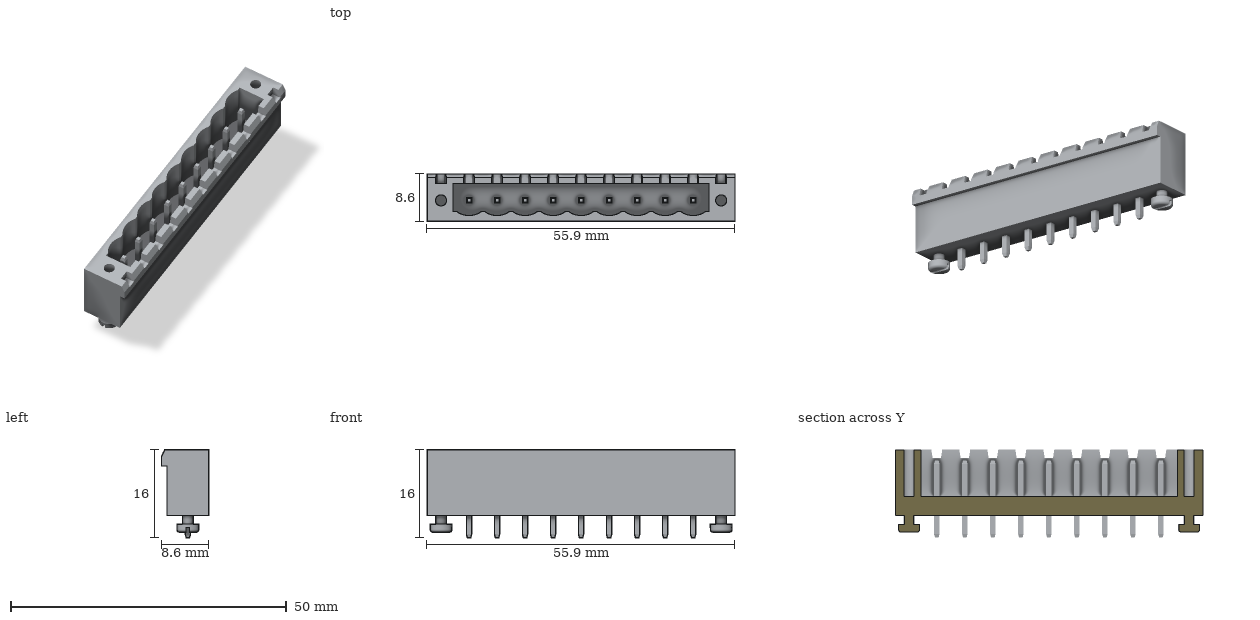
import cadquery as cq
import math


pitch = 5.08
pin_count = 9
pin_xs = [(i - (pin_count - 1) / 2) * pitch for i in range(pin_count)]
screw_x = pin_xs[-1] + pitch
screw_xs = [-screw_x, screw_x]

length = (pin_count + 2) * pitch
height = 12.0
depth = 7.6
front_y = -3.8
back_y = front_y + depth
lip_overhang = 1.0
lip_height = 3.0
lip_back_y = back_y + lip_overhang
bevel_depth = 0.6
bevel_height = 1.3

cavity_length = 46.4
cavity_depth = 8.5
cavity_floor_z = height - cavity_depth
back_wall = 1.7
cavity_back_y = lip_back_y - back_wall
front_wall = 1.75
cavity_front_y = front_y + front_wall
scallop_width = 4.4
scallop_rise = 0.7

notch_floor_width = 1.5
notch_top_width = 2.0
notch_depth = 1.6

pin_width = 1.0
pin_below = 4.0
pin_top_recess = 2.0
pin_top_z = height - pin_top_recess
pin_tip_inset = 0.18
pin_tip_length = 0.65

shank_diameter = 2.0
hole_depth = cavity_depth
head_diameter = 4.0
head_top_z = -1.5
head_height = 1.5
head_round = 0.5
driver_slot_width = 0.6
driver_slot_depth = 0.9


def make_housing():
    """Prism along X whose back wall carries a bevelled lip at the top."""
    lip_bottom_z = height - lip_height
    return (
        cq.Workplane("YZ")
        .moveTo(front_y, 0)
        .lineTo(back_y, 0)
        .lineTo(back_y, lip_bottom_z)
        .lineTo(lip_back_y, lip_bottom_z)
        .lineTo(lip_back_y, height - bevel_height)
        .lineTo(lip_back_y - bevel_depth, height)
        .lineTo(front_y, height)
        .close()
        .extrude(length / 2, both=True)
    )


def make_cavity():
    """Pocket whose front wall is scooped out by one round scallop for each pin."""
    half_length = cavity_length / 2
    outline = (
        cq.Workplane("XY")
        .workplane(offset=cavity_floor_z)
        .moveTo(-half_length, cavity_back_y)
        .lineTo(-half_length, cavity_front_y)
    )
    for x in pin_xs:
        scallop_bottom = (x, cavity_front_y - scallop_rise)
        scallop_end = (x + scallop_width / 2, cavity_front_y)
        outline = (
            outline.lineTo(x - scallop_width / 2, cavity_front_y)
            .threePointArc(scallop_bottom, scallop_end)
        )
    return (
        outline.lineTo(half_length, cavity_front_y)
        .lineTo(half_length, cavity_back_y)
        .close()
        .extrude(cavity_depth)
    )


def make_notch(x):
    """Notch with sloping sides, running from the cavity's back wall out through the lip."""
    floor_z = height - notch_depth
    return (
        cq.Workplane("XZ", origin=(x, lip_back_y, 0))
        .moveTo(-notch_floor_width / 2, floor_z)
        .lineTo(notch_floor_width / 2, floor_z)
        .lineTo(notch_top_width / 2, height)
        .lineTo(-notch_top_width / 2, height)
        .close()
        .extrude(lip_back_y - cavity_back_y)
    )


def make_tip(x, base_z, direction):
    """Tapered pin end, growing up (direction 1) or down (direction -1) from base_z."""
    taper = math.degrees(math.atan(pin_tip_inset / pin_tip_length))
    return (
        cq.Workplane("XY", origin=(x, 0, base_z))
        .rect(pin_width, pin_width)
        .extrude(direction * pin_tip_length, taper=taper)
    )


def make_pin(x):
    """Square pin tapered at both ends."""
    shaft_bottom_z = -pin_below + pin_tip_length
    shaft_top_z = pin_top_z - pin_tip_length
    shaft = (
        cq.Workplane("XY", origin=(x, 0, shaft_bottom_z))
        .rect(pin_width, pin_width)
        .extrude(shaft_top_z - shaft_bottom_z)
    )
    return shaft.union(make_tip(x, shaft_top_z, 1)).union(make_tip(x, shaft_bottom_z, -1))


def make_screw(x):
    """Screw below the housing: a shank and a rounded, slotted head."""
    head_bottom_z = head_top_z - head_height
    shank = cq.Workplane("XY", origin=(x, 0, 0)).circle(shank_diameter / 2).extrude(head_top_z)
    head = (
        cq.Workplane("XY", origin=(x, 0, head_bottom_z))
        .circle(head_diameter / 2)
        .extrude(head_height)
        .faces("<Z")
        .edges()
        .fillet(head_round)
    )
    driver_slot = (
        cq.Workplane("XY", origin=(x, 0, head_bottom_z))
        .rect(head_diameter, driver_slot_width)
        .extrude(driver_slot_depth)
    )
    return shank.union(head.cut(driver_slot))


def make_screw_hole(x):
    """Blind round hole in the top of the housing, in line with the screw."""
    return (
        cq.Workplane("XY", origin=(x, 0, height - hole_depth))
        .circle(shank_diameter / 2)
        .extrude(hole_depth)
    )


result = make_housing().cut(make_cavity())

for notch_x in pin_xs + screw_xs:
    result = result.cut(make_notch(notch_x))

for pin_x in pin_xs:
    result = result.union(make_pin(pin_x))

for mount_x in screw_xs:
    result = result.cut(make_screw_hole(mount_x)).union(make_screw(mount_x))